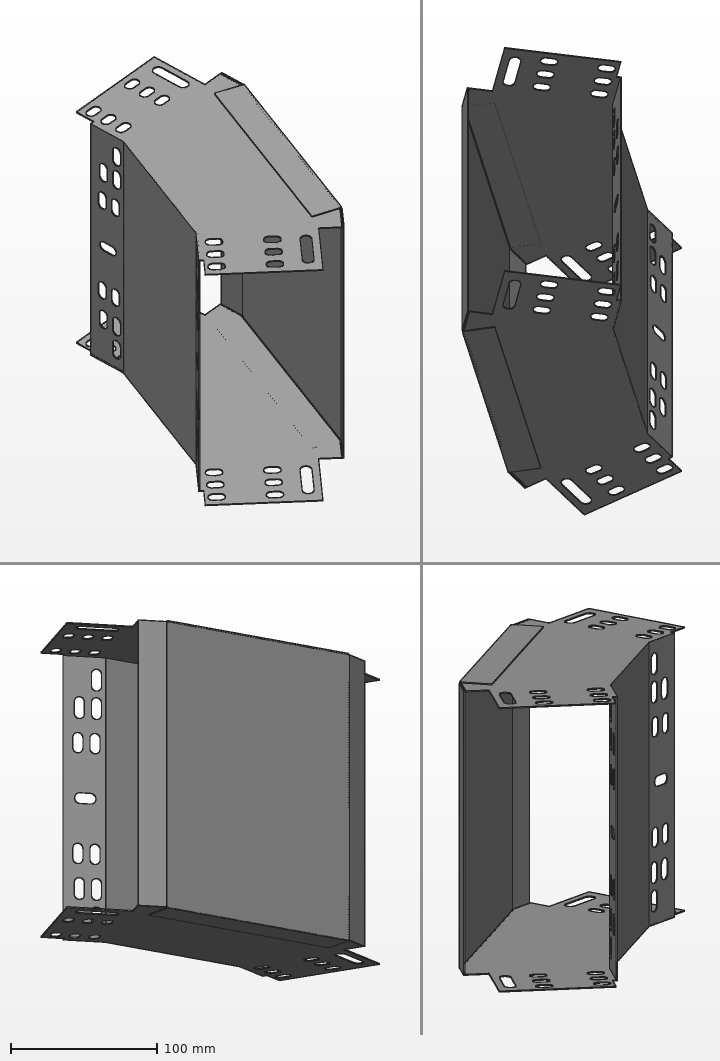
import cadquery as cq
import math

length = 261.0
height = 203.3
depth = 101.5
sheet = 0.8
bend = math.radians(22.5)

front_wing = 29.8
tab_overhang = 16.0
tab_inset = 3.5
tab_width = 80.6
tab_end = front_wing + tab_overhang
tab_back = tab_inset + tab_width
tray_height = height - 2 * sheet

back_wing = 19.8
lip_width = 150.9
lip_depth = 22.7
wall_gap = sheet

front_bend_x = length / 2 - tab_end * math.cos(bend) - tab_back * math.sin(bend)
miter = math.tan(bend / 2)

back_wing_end = back_wing - depth * miter

flange_slot_length = 12.0
flange_slot_width = 7.0
flange_slot_first = 10.2
flange_slot_pitch = 13.5
flange_slot_count = 3
flange_slot_rows = (11.7, 51.7)
long_slot_length = 30.5
long_slot_width = 8.0
long_slot_along = 22.5
long_slot_across = 74.6

wing_slot_width = 7.0
tall_slot_length = 15.5
tall_slots = ((6.3, 84.0), (6.3, 64.0), (18.3, 64.0))
short_slot_length = 14.4
short_slots = ((7.3, 39.1), (19.3, 39.1))
level_slot_length = 15.0
level_slot_width = 7.5
level_slot_along = 14.0

cut_depth = 4 * sheet


def end_point(along, across):
    """XY point in the right-hand turned end, from the outer front bend corner."""
    x = front_bend_x + along * math.cos(bend) + across * math.sin(bend)
    y = across * math.cos(bend) - along * math.sin(bend)
    return (x, y)


def bend_point(across):
    """XY point on the right-hand bend line, at a depth behind the front face."""
    return (front_bend_x + across * miter, across)


def symmetric_prism(right_points, prism_height):
    """Prism centred on Z, from the right half of an outline that mirrors about X = 0."""
    left_points = [(-x, y) for x, y in reversed(right_points)]
    outline = cq.Workplane("XY").polyline(right_points + left_points).close()
    return outline.extrude(prism_height / 2, both=True)


def with_mirror(shape, plane):
    return shape.union(shape.mirror(plane))


def bent_wall(outer, inner, wing_end):
    """Upright wall between two depths, with a wing on each side that ends at wing_end."""
    right_points = [
        bend_point(outer),
        end_point(wing_end, outer),
        end_point(wing_end, inner),
        bend_point(inner),
    ]
    return symmetric_prism(right_points, tray_height)


def flange_slots():
    """All slots of the upper and lower flange, as cutters through the whole height."""
    spots = [
        end_point(flange_slot_first + i * flange_slot_pitch, across)
        for i in range(flange_slot_count)
        for across in flange_slot_rows
    ]
    turn = math.degrees(bend)
    cutters = (
        cq.Workplane("XY")
        .pushPoints(spots)
        .slot2D(flange_slot_length, flange_slot_width, 90 - turn)
        .pushPoints([end_point(long_slot_along, long_slot_across)])
        .slot2D(long_slot_length, long_slot_width, -turn)
        .extrude(height, both=True)
    )
    return with_mirror(cutters, "YZ")


def wing_slots():
    """All slots of the two front wings, as cutters."""
    right_wing = cq.Plane(
        origin=(front_bend_x, 0, 0),
        xDir=(math.cos(bend), -math.sin(bend), 0),
        normal=(-math.sin(bend), -math.cos(bend), 0),
    )

    def upright(spots, slot_length):
        both_halves = [(along, side * z) for along, z in spots for side in (1, -1)]
        return (
            cq.Workplane(right_wing)
            .pushPoints(both_halves)
            .slot2D(slot_length, wing_slot_width, 90)
            .extrude(cut_depth, both=True)
        )

    level = (
        cq.Workplane(right_wing)
        .center(level_slot_along, 0)
        .slot2D(level_slot_length, level_slot_width)
        .extrude(cut_depth, both=True)
    )
    cutters = upright(tall_slots, tall_slot_length)
    cutters = cutters.union(upright(short_slots, short_slot_length)).union(level)
    return with_mirror(cutters, "YZ")


def make_tray():
    """Channel with a bent front wall and two flanges that carry the joint tabs."""
    flange_depth = depth - sheet - wall_gap
    flange_outline = [
        bend_point(0),
        end_point(front_wing, 0),
        end_point(front_wing, tab_inset),
        end_point(tab_end, tab_inset),
        end_point(tab_end, tab_back),
        end_point(back_wing_end, tab_back),
        end_point(back_wing_end, flange_depth),
        bend_point(flange_depth),
    ]
    flanges = symmetric_prism(flange_outline, tray_height).cut(
        symmetric_prism(flange_outline, tray_height - 2 * sheet)
    )
    flanges = flanges.cut(flange_slots())
    front_wall = bent_wall(0, sheet, front_wing).cut(wing_slots())
    return flanges.union(front_wall)


def make_cover():
    """Bent back wall with a lip over each flange of the tray."""
    back_wall = bent_wall(depth, depth - sheet, back_wing_end)
    lip = cq.Workplane("XY", origin=(0, depth - lip_depth / 2, tray_height / 2)).box(
        lip_width, lip_depth, sheet, centered=(True, True, False)
    )
    return back_wall.union(with_mirror(lip, "XY"))


tray = make_tray()
cover = make_cover()
result = cq.Compound.makeCompound([tray.val(), cover.val()])